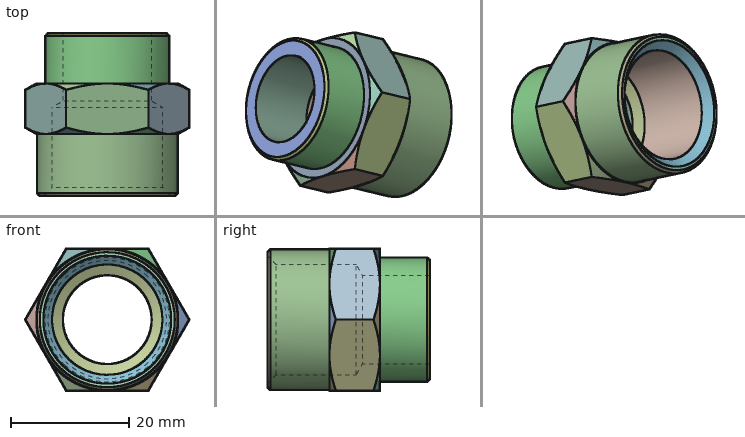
import cadquery as cq
import math


SOCKET_DIAMETER = 23.8
SOCKET_LENGTH = 10.5
HEX_ACROSS_FLATS = 24.0
HEX_SIDES = 6
HEX_LENGTH = 8.5
SPIGOT_DIAMETER = 21.0
SPIGOT_LENGTH = 8.5
END_CHAMFER = 0.5
HEX_CHAMFER_ANGLE = 30.0

LARGE_BORE_DIAMETER = 18.63
SMALL_BORE_DIAMETER = 14.95
COUNTERSINK_DIAMETER = 21.6
COUNTERSINK_HALF_ANGLE = 45.0
LARGE_BORE_DEPTH = 15.0
BORE_STEP_HALF_ANGLE = 60.0

MOUTH_Y = 0.0
HEX_START_Y = MOUTH_Y + SOCKET_LENGTH
HEX_END_Y = HEX_START_Y + HEX_LENGTH
SPIGOT_END_Y = HEX_END_Y + SPIGOT_LENGTH


def revolve_about_y(profile):
    """Revolve a closed (radius, y) outline around the Y axis."""
    return cq.Workplane("XY").polyline(profile).close().revolve(360, (0, 0, 0), (0, 1, 0))


def cone_depth(wide_radius, narrow_radius, half_angle):
    """Axial length of a cone narrowing between two radii."""
    return (wide_radius - narrow_radius) / math.tan(math.radians(half_angle))


def make_barrel():
    """Both cylindrical ends, each chamfered at its outer rim."""
    socket_radius = SOCKET_DIAMETER / 2
    spigot_radius = SPIGOT_DIAMETER / 2
    return revolve_about_y([
        (0, MOUTH_Y),
        (socket_radius - END_CHAMFER, MOUTH_Y),
        (socket_radius, MOUTH_Y + END_CHAMFER),
        (socket_radius, HEX_START_Y),
        (spigot_radius, HEX_START_Y),
        (spigot_radius, SPIGOT_END_Y - END_CHAMFER),
        (spigot_radius - END_CHAMFER, SPIGOT_END_Y),
        (0, SPIGOT_END_Y),
    ])


def make_hexagon():
    """Hexagon with corners on the X axis and conical chamfers on both faces."""
    corner_radius = HEX_ACROSS_FLATS / 2 / math.cos(math.pi / HEX_SIDES)
    face_radius = HEX_ACROSS_FLATS / 2
    chamfer_height = (corner_radius - face_radius) * math.tan(math.radians(HEX_CHAMFER_ANGLE))
    prism = (
        cq.Workplane("XZ", origin=(0, HEX_END_Y, 0))
        .polygon(HEX_SIDES, 2 * corner_radius)
        .extrude(HEX_LENGTH)
    )
    chamfer_envelope = revolve_about_y([
        (0, HEX_START_Y),
        (face_radius, HEX_START_Y),
        (corner_radius, HEX_START_Y + chamfer_height),
        (corner_radius, HEX_END_Y - chamfer_height),
        (face_radius, HEX_END_Y),
        (0, HEX_END_Y),
    ])
    return prism.intersect(chamfer_envelope)


def make_bore():
    """Countersunk large bore, conical step, then the small bore through the far end."""
    countersink_radius = COUNTERSINK_DIAMETER / 2
    large_radius = LARGE_BORE_DIAMETER / 2
    small_radius = SMALL_BORE_DIAMETER / 2
    countersink_depth = cone_depth(countersink_radius, large_radius, COUNTERSINK_HALF_ANGLE)
    step_depth = cone_depth(large_radius, small_radius, BORE_STEP_HALF_ANGLE)
    return revolve_about_y([
        (0, MOUTH_Y),
        (countersink_radius, MOUTH_Y),
        (large_radius, MOUTH_Y + countersink_depth),
        (large_radius, MOUTH_Y + LARGE_BORE_DEPTH),
        (small_radius, MOUTH_Y + LARGE_BORE_DEPTH + step_depth),
        (small_radius, SPIGOT_END_Y),
        (0, SPIGOT_END_Y),
    ])


result = make_barrel().union(make_hexagon()).cut(make_bore())